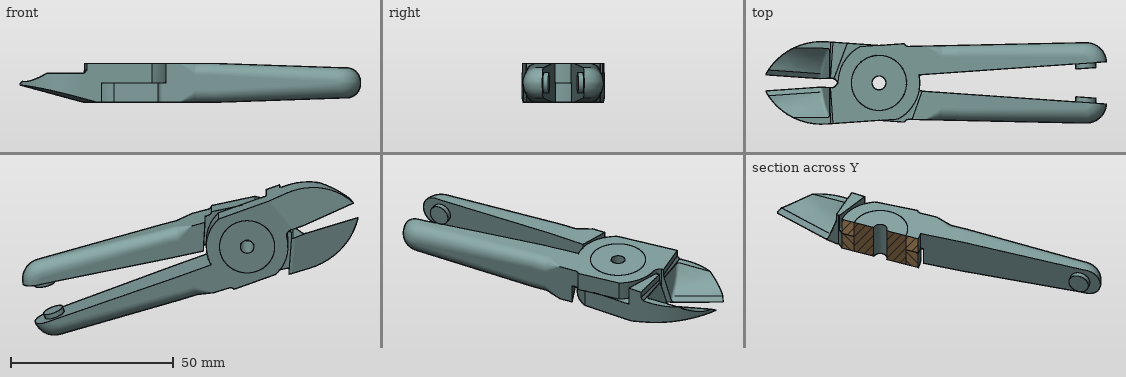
import cadquery as cq
import math


thickness = 12.0
half_thickness = thickness / 2
half_width = 11.5
lap_radius = 12.6
rivet_radius = 8.5
rivet_bore_radius = 2.1
opening_angle = 4.0
flank_fillet = 0.5

tip_x = -34.8
tip_width = 0.3
jaw_arc_middle = (-26.9, -8.9)
jaw_arc_end_x = -17.2
relief_start_x = -18.2
relief_end = (-14.3, -0.4)
throat_middle = (-13.3, 0.1)
throat_top_y = 1.4
jaw_flank_inner = (-13.9, -0.3)
jaw_flank_outer = (-10.6, -half_width)
shoulder_x = -15.0
jaw_top_z = 3.0
shoulder_ramp_height = 0.9
ramp_foot_inner_x = -15.2
ramp_foot_outer_x = -16.0

underside_start = (-15.1, -0.3)
underside_turn = 17.3
underside_slope = 15.9

edge_land = 0.1
bevel_width = 1.6
bevel_rise = 1.3
hollow_near_x = -14.6
hollow_far_x = -35.6
hollow_near_rim = 9.6
hollow_far_rim = 8.3
hollow_near_sag = 0.9
hollow_far_sag = 0.6
hollow_wall_tilt = 18.0
hollow_fillet = 0.9

handle_gap = 1.6
handle_flank_inner_x = 13.4
handle_flank_outer_x = 10.9
bump_end_x = 8.6
bump_runout_middle = (9.2, 10.8)
handle_start_x = 10.1
handle_start_y = 10.6
rounding_start_x = 15.1
rounding_full_x = 20.0
taper_start_x = 25.1
handle_end_x = 63.8
handle_end_y = 8.0
handle_end_half_thickness = 4.7
sharp_corner_radius = 0.05
grip_radius = 3.6
grip_end_radius = 4.5
stop_radius = 3.1
stop_x = 63.7

margin = 5.2
reach = 62.8


def underside_height(x, y):
    """Height of the sloping jaw underside at a point."""
    turn = math.radians(underside_turn)
    run = (underside_start[0] - x) * math.cos(turn) + (underside_start[1] - y) * math.sin(turn)
    return -half_thickness + run * math.tan(math.radians(underside_slope))


def handle_outer_y(x):
    """Outer edge of the handle, a straight taper."""
    fraction = (x - handle_start_x) / (handle_end_x - handle_start_x)
    return handle_start_y + fraction * (handle_end_y - handle_start_y)


def jaw_outline(base_z):
    """Curved outer edge of the jaw from its flank round to the end of the cutting edge."""
    return (
        cq.Workplane("XY", origin=(0, 0, base_z))
        .moveTo(*jaw_flank_outer)
        .lineTo(jaw_arc_end_x, -half_width)
        .threePointArc(jaw_arc_middle, (tip_x, -tip_width))
        .lineTo(tip_x, 0)
        .lineTo(relief_start_x, 0)
        .lineTo(*relief_end)
    )


def lap_plate():
    """Half-height plate around the rivet, reaching out to the jaw and the handle."""
    disc = cq.Workplane("XY").circle(lap_radius).extrude(half_thickness)
    strip = cq.Workplane("XY").box(reach, 2 * half_width, thickness)
    throat_x = -math.sqrt(lap_radius**2 - throat_top_y**2)
    jaw_root = (
        jaw_outline(0)
        .threePointArc(throat_middle, (throat_x, throat_top_y))
        .lineTo(0, throat_top_y)
        .lineTo(0, -half_width)
        .close()
        .extrude(half_thickness)
    )
    handle_root = (
        cq.Workplane("XY")
        .moveTo(0, handle_gap)
        .lineTo(rounding_start_x, handle_gap)
        .lineTo(rounding_start_x, handle_outer_y(rounding_start_x))
        .lineTo(handle_start_x, handle_start_y)
        .threePointArc(bump_runout_middle, (bump_end_x, half_width))
        .lineTo(0, half_width)
        .close()
        .extrude(half_thickness)
    )
    return disc.intersect(strip).union(jaw_root).union(handle_root)


def jaw_lower_half():
    """Part of the jaw below the lap plane, ending at a slanted flank."""
    return jaw_outline(-half_thickness).lineTo(*jaw_flank_inner).close().extrude(half_thickness)


def handle_lower_half():
    """Root of the handle below the lap plane, starting at a slanted flank."""
    return (
        cq.Workplane("XY", origin=(0, 0, -half_thickness))
        .moveTo(handle_flank_inner_x, handle_gap)
        .lineTo(rounding_start_x, handle_gap)
        .lineTo(rounding_start_x, handle_outer_y(rounding_start_x))
        .lineTo(handle_flank_outer_x, handle_outer_y(handle_flank_outer_x))
        .close()
        .extrude(half_thickness)
    )


def flank_fillet_strip(start, end):
    """Concave fillet below the lap plane, on the left of a flank running from start to end."""
    length = math.hypot(end[0] - start[0], end[1] - start[1])
    heading = math.degrees(math.atan2(end[1] - start[1], end[0] - start[0]))
    waist = flank_fillet * (1 - math.sqrt(0.5))
    strip = (
        cq.Workplane("YZ")
        .lineTo(flank_fillet, 0)
        .threePointArc((waist, -waist), (0, -flank_fillet))
        .close()
        .extrude(length)
        .rotate((0, 0, 0), (0, 0, 1), heading)
        .translate((start[0], start[1], 0))
    )
    return strip.intersect(cq.Workplane("XY").box(reach, 2 * half_width, thickness))


def handle_section(x, half_height, radius):
    """D-shaped handle section: flat inner face, two rounded outer corners."""
    outer = handle_outer_y(x)
    shoulder = outer - radius
    flank = half_height - radius
    turn = radius * math.sqrt(0.5)
    return (
        cq.Workplane("YZ", origin=(x, 0, 0))
        .moveTo(handle_gap, -half_height)
        .lineTo(shoulder, -half_height)
        .threePointArc((shoulder + turn, -flank - turn), (outer, -flank))
        .lineTo(outer, flank)
        .threePointArc((shoulder + turn, flank + turn), (shoulder, half_height))
        .lineTo(handle_gap, half_height)
        .close()
    )


def handle_grip():
    """Rounded, tapering grip with a domed end and a round stop on its inner face."""
    stations = [
        (rounding_start_x, half_thickness, sharp_corner_radius),
        (rounding_full_x, half_thickness, grip_radius),
        (taper_start_x, half_thickness, grip_radius),
        (handle_end_x, handle_end_half_thickness, grip_end_radius),
    ]
    wires = [handle_section(*station).wires().val() for station in stations]
    grip = cq.Workplane(cq.Solid.makeLoft(wires, True))
    dome = handle_section(*stations[-1]).revolve(90, (handle_gap, 0, 0), (handle_gap, -1, 0))
    stop = cq.Workplane("XZ", origin=(stop_x, handle_gap, 0)).circle(stop_radius).extrude(handle_gap)
    return grip.union(dome).union(stop)


def underside_cutter():
    """Wedge below the sloping underside of the jaw."""
    drop = reach * math.tan(math.radians(underside_slope))
    return (
        cq.Workplane("XZ", origin=(0, reach / 2, -half_thickness))
        .polyline([(0, 0), (-reach, drop), (-reach, -margin), (0, -margin)])
        .close()
        .extrude(reach)
        .rotate((0, 0, 0), (0, 0, 1), underside_turn)
        .translate((underside_start[0], underside_start[1], 0))
    )


def step_section(y, foot_x):
    """Section of the space above the jaw, with a ramp along the foot of the shoulder."""
    return (
        cq.Workplane("XZ", origin=(0, y, 0))
        .polyline(
            [
                (-reach, jaw_top_z),
                (foot_x, jaw_top_z),
                (shoulder_x, jaw_top_z + shoulder_ramp_height),
                (shoulder_x, half_thickness + margin),
                (-reach, half_thickness + margin),
            ]
        )
        .close()
        .wires()
        .val()
    )


def step_cutter():
    """Space above the jaw in front of the shoulder."""
    inner = step_section(0, ramp_foot_inner_x)
    outer = step_section(-half_width - margin, ramp_foot_outer_x)
    return cq.Workplane(cq.Solid.makeLoft([inner, outer], True))


def hollow_section(x, rim, sag):
    """Section of the jaw hollow: cutting bevel, concave floor and rim."""
    edge_z = underside_height(x, 0) + edge_land
    foot_z = edge_z + bevel_rise
    middle = (-(bevel_width + rim) / 2, (foot_z + jaw_top_z) / 2 - sag)
    return (
        cq.Workplane("YZ", origin=(x, 0, 0))
        .moveTo(0, edge_z)
        .lineTo(-bevel_width, foot_z)
        .threePointArc(middle, (-rim, jaw_top_z))
        .lineTo(margin, jaw_top_z)
        .lineTo(margin, edge_z)
        .close()
        .wires()
        .val()
    )


def hollow_cutter():
    """Hollow behind the cutting edge, closed by a leaning wall below the shoulder."""
    near = hollow_section(hollow_near_x, hollow_near_rim, hollow_near_sag)
    far = hollow_section(hollow_far_x, hollow_far_rim, hollow_far_sag)
    hollow = cq.Workplane(cq.Solid.makeLoft([far, near], True))
    wall_turn = math.degrees(math.atan2(ramp_foot_inner_x - ramp_foot_outer_x, half_width))
    lean = reach * math.tan(math.radians(hollow_wall_tilt))
    front_space = (
        cq.Workplane("XZ", origin=(0, reach / 2, jaw_top_z))
        .polyline([(lean, reach), (-lean, -reach), (-reach, -reach), (-reach, reach)])
        .close()
        .extrude(reach)
        .rotate((0, 0, 0), (0, 0, 1), -wall_turn)
        .translate((ramp_foot_inner_x, 0, 0))
    )
    hollow = hollow.intersect(front_space)
    return hollow.faces(">X").edges("not(>Y or >Z)").fillet(hollow_fillet)


def lever(plate_side):
    """One lever, closed, with its lap plate above (1) or below (-1) the lap plane."""
    handle_flank_inner = (handle_flank_inner_x, handle_gap)
    handle_flank_outer = (handle_flank_outer_x, handle_outer_y(handle_flank_outer_x))
    joint = (
        lap_plate()
        .union(jaw_lower_half())
        .union(handle_lower_half())
        .union(flank_fillet_strip(jaw_flank_inner, jaw_flank_outer))
        .union(flank_fillet_strip(handle_flank_inner, handle_flank_outer))
    )
    if plate_side < 0:
        joint = joint.mirror("XY")
    rivet_hole = cq.Workplane("XY").circle(rivet_radius).extrude(thickness, both=True)
    return (
        joint.union(handle_grip())
        .cut(underside_cutter())
        .cut(step_cutter())
        .cut(hollow_cutter())
        .cut(rivet_hole)
    )


def hollow_rivet():
    """Ring-shaped rivet, flush with both faces of the lap joint."""
    return cq.Workplane("XY").circle(rivet_radius).circle(rivet_bore_radius).extrude(half_thickness, both=True)


upper_lever = lever(1).rotate((0, 0, 0), (0, 0, 1), opening_angle)
lower_lever = lever(-1).rotate((0, 0, 0), (0, 0, 1), opening_angle).mirror("XZ")
rivet = hollow_rivet()

result = cq.Compound.makeCompound([upper_lever.val(), lower_lever.val(), rivet.val()])